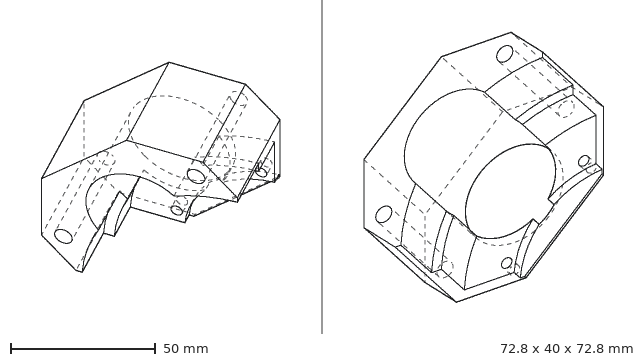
import cadquery as cq

side = 72.8
depth = 40.0
large_cut = 31.6
small_cut = 12.8
half = side / 2
front = -depth / 2

bore_diameter = 39.85
mount_diameter = 6.55
mount_near = 21.05
mount_far = 28.25
pin_diameter = 4.2
pin_offset = 31.4

recess_center = 39.3
recess_steps = [
    (60.7, depth / 2),
    (56.65, 5.0),
    (36.4, 1.0),
]


def cylinder(x, z, radius, length):
    """Cylinder along +Y that starts on the front face."""
    axis_start = cq.Vector(x, front, z)
    return cq.Workplane(cq.Solid.makeCylinder(radius, length, axis_start, cq.Vector(0, 1, 0)))


def make_block():
    outline = [
        (-half, half - large_cut),
        (-half + large_cut, half),
        (half - small_cut, half),
        (half, half - small_cut),
        (half, -half + large_cut),
        (half - large_cut, -half),
        (-half + small_cut, -half),
        (-half, -half + small_cut),
    ]
    return cq.Workplane("XZ").polyline(outline).close().extrude(depth / 2, both=True)


result = make_block()

for step_radius, back_thickness in recess_steps:
    cut_depth = depth - back_thickness
    result = result.cut(cylinder(recess_center, -recess_center, step_radius, cut_depth))

holes = [
    (0, 0, bore_diameter),
    (mount_near, mount_far, mount_diameter),
    (-mount_far, -mount_near, mount_diameter),
    (pin_offset, 0, pin_diameter),
    (0, -pin_offset, pin_diameter),
]
for hole_x, hole_z, diameter in holes:
    result = result.cut(cylinder(hole_x, hole_z, diameter / 2, depth))